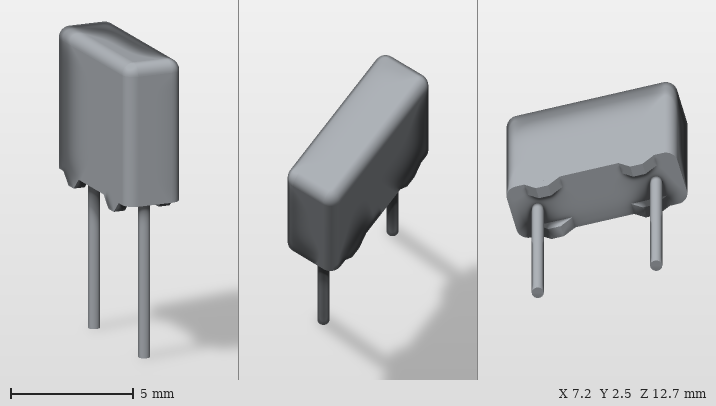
import cadquery as cq

total_height = 12.7
case_length = 7.2
case_width = 2.5
case_height = 6.0
edge_radius = 0.5

lead_diameter = 0.5
lead_pitch = 5.0
lead_length = total_height - case_height

foot_height = 0.5
foot_depth = 0.5
foot_tip_length = 0.52
foot_base_length = foot_tip_length + 2 * foot_height
foot_outer_x = (lead_pitch + lead_diameter) / 2


def make_case():
    """Box rounded on its upright and top edges, with a sharp-edged flat underside."""
    box = cq.Workplane("XY").box(case_length, case_width, case_height, centered=(True, True, False))
    return box.edges("|Z or >Z").fillet(edge_radius)


def make_lead(side):
    """Round wire hanging from the underside; side is -1 or 1 along X."""
    return (
        cq.Workplane("XY")
        .center(side * lead_pitch / 2, 0)
        .circle(lead_diameter / 2)
        .extrude(-lead_length)
    )


def make_foot(x_side, y_side):
    """Standoff flush with one broad face of the case; each side is -1 or 1."""
    base_outer = x_side * foot_outer_x
    base_inner = x_side * (foot_outer_x - foot_base_length)
    tip_outer = x_side * (foot_outer_x - foot_height)
    tip_inner = x_side * (foot_outer_x - foot_height - foot_tip_length)
    center_y = y_side * (case_width - foot_depth) / 2
    return (
        cq.Workplane("XZ", origin=(0, center_y, 0))
        .moveTo(base_outer, 0)
        .lineTo(tip_outer, -foot_height)
        .lineTo(tip_inner, -foot_height)
        .lineTo(base_inner, 0)
        .close()
        .extrude(foot_depth / 2, both=True)
    )


case = make_case()
leads = [make_lead(side) for side in (-1, 1)]
feet = [make_foot(x_side, y_side) for x_side in (-1, 1) for y_side in (-1, 1)]

bodies = [case, *leads, *feet]
result = cq.Compound.makeCompound([body.val() for body in bodies])